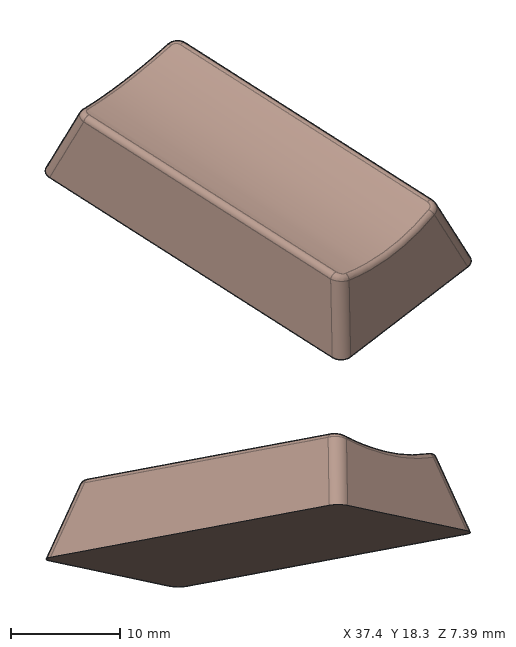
import cadquery as cq

BASE_LENGTH = 37.35
BASE_WIDTH = 18.3
WALL_LEAN = 17.6
CORNER_RADIUS = 1.25
BLANK_HEIGHT = 9.0

DISH_RADIUS = 22.5
DISH_BOTTOM = 6.5

RIM_RADIUS = 0.6


def tapered_blank():
    """Block whose four walls lean inward, with rounded corner edges."""
    block = cq.Workplane("XY").rect(BASE_LENGTH, BASE_WIDTH).extrude(BLANK_HEIGHT, taper=WALL_LEAN)
    slanted_edges = block.edges("not(#Z)")
    return slanted_edges.fillet(CORNER_RADIUS)


def dish_cutter():
    """Horizontal cylinder along X that hollows the top."""
    return (
        cq.Workplane("YZ")
        .center(0, DISH_BOTTOM + DISH_RADIUS)
        .circle(DISH_RADIUS)
        .extrude(BASE_LENGTH / 2, both=True)
    )


dished = tapered_blank().cut(dish_cutter())
dish_face = dished.faces(cq.selectors.NearestToPointSelector((0, 0, DISH_BOTTOM)))
rim_edges = dish_face.edges()
result = rim_edges.fillet(RIM_RADIUS)